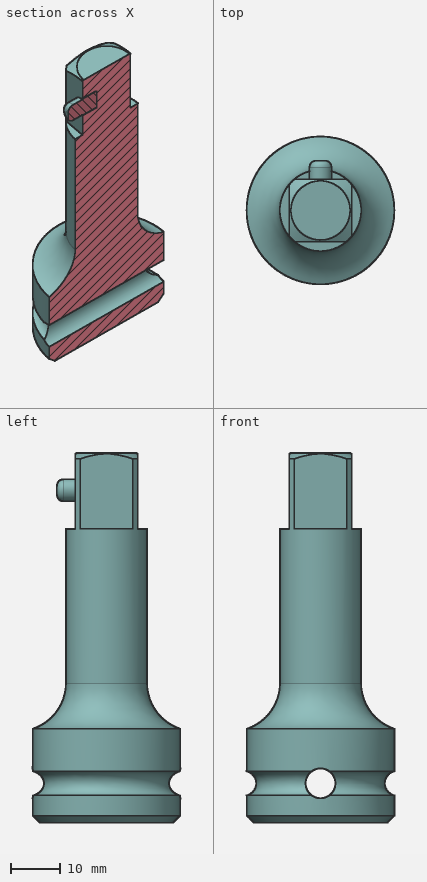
import cadquery as cq
import math

total_height = 75.0

base_radius = 15.0
base_chamfer_width = 1.5
base_chamfer_height = 1.5
groove_center_z = 8.0
groove_width = 4.9
groove_depth = 1.95
cross_hole_diameter = 6.0

shank_radius = 8.25
flare_top_z = 28.35
flare_radius = 9.75

drive_bottom_z = 59.6
drive_width = 12.7
tip_radius = 6.0
tip_chamfer_height = 1.2

pin_diameter = 4.5
pin_center_z = 67.4
pin_protrusion = 3.75
pin_seat_depth = 3.75
pin_tip_fillet = 1.35


def make_turned_body():
    """Revolve the base, groove, flare, shank and cone-chamfered tip."""
    groove_bottom_z = groove_center_z - groove_width / 2
    groove_top_z = groove_center_z + groove_width / 2

    flare_center_r = shank_radius + flare_radius
    flare_bottom_z = flare_top_z - math.sqrt(flare_radius**2 - (flare_center_r - base_radius) ** 2)
    flare_end_angle = math.atan2(flare_top_z - flare_bottom_z, flare_center_r - base_radius)
    flare_mid = (
        flare_center_r - flare_radius * math.cos(flare_end_angle / 2),
        flare_top_z - flare_radius * math.sin(flare_end_angle / 2),
    )
    return (
        cq.Workplane("XZ")
        .moveTo(0, 0)
        .lineTo(base_radius - base_chamfer_width, 0)
        .lineTo(base_radius, base_chamfer_height)
        .lineTo(base_radius, groove_bottom_z)
        .threePointArc((base_radius - groove_depth, groove_center_z), (base_radius, groove_top_z))
        .lineTo(base_radius, flare_bottom_z)
        .threePointArc(flare_mid, (shank_radius, flare_top_z))
        .lineTo(shank_radius, total_height - tip_chamfer_height)
        .lineTo(tip_radius, total_height)
        .lineTo(0, total_height)
        .close()
        .revolve(360, (0, 0, 0), (0, 1, 0))
    )


def make_drive_trim():
    """Ring of material that is removed to leave the square drive."""
    drive_height = total_height - drive_bottom_z
    return (
        cq.Workplane("XY", origin=(0, 0, drive_bottom_z))
        .circle(base_radius)
        .rect(drive_width, drive_width)
        .extrude(drive_height)
    )


def make_cross_hole():
    """Hole along Y through the whole base, at the groove."""
    return (
        cq.Workplane("XZ", origin=(0, 0, groove_center_z))
        .circle(cross_hole_diameter / 2)
        .extrude(base_radius, both=True)
    )


def make_pin_blank():
    """Straight cylinder from the seat floor to the pin tip."""
    seat_floor_y = drive_width / 2 - pin_seat_depth
    return (
        cq.Workplane("XZ", origin=(0, seat_floor_y, pin_center_z))
        .circle(pin_diameter / 2)
        .extrude(-(pin_seat_depth + pin_protrusion))
    )


def make_extension():
    return make_turned_body().cut(make_drive_trim()).cut(make_cross_hole()).cut(make_pin_blank())


def make_pin():
    return make_pin_blank().faces(">Y").edges().fillet(pin_tip_fillet)


extension = make_extension()
pin = make_pin()

result = cq.Compound.makeCompound([extension.val(), pin.val()])